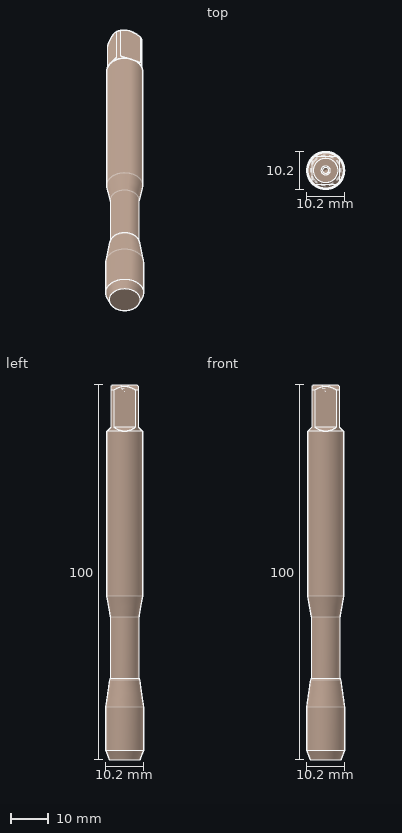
import cadquery as cq

total_length = 100.0

thread_diameter = 10.18
lead_tip_diameter = 8.2
lead_length = 2.6
thread_end = 14.2
head_taper_end = 21.3
head_taper_tip_diameter = 8.15
head_length = 21.8

neck_diameter = 7.7
neck_end = 38.1
shank_taper_end = 43.7
shank_diameter = 9.68

square_across_flats = 7.4
square_corner_diameter = 9.4
square_base = 87.7
square_ramp_top = 88.7
end_face_diameter = 6.5
end_chamfer_height = 1.4

centre_hole_diameter = 1.6
centre_hole_depth = 1.0
countersink_diameter = 2.4


def turned(profile):
    """Revolve (radius, height) points about the Z axis."""
    return cq.Workplane("XZ").polyline(profile).close().revolve(360, (0, 0, 0), (0, 1, 0))


def make_threaded_head():
    """Lower body: lead taper, thread envelope, and taper up to the neck."""
    return turned([
        (0, 0),
        (lead_tip_diameter / 2, 0),
        (thread_diameter / 2, lead_length),
        (thread_diameter / 2, thread_end),
        (head_taper_tip_diameter / 2, head_taper_end),
        (neck_diameter / 2, head_length),
        (0, head_length),
    ])


def make_flat_cutter():
    """Block that cuts the -Y flat of the square and the 45 degree ramp at its foot."""
    flat = square_across_flats / 2
    outside = shank_diameter
    return (
        cq.Workplane("YZ")
        .polyline([
            (-flat, total_length),
            (-flat, square_ramp_top),
            (-outside, square_ramp_top - (outside - flat)),
            (-outside, total_length),
        ])
        .close()
        .extrude(shank_diameter, both=True)
    )


def make_centre_hole_cutter():
    """Hole in the top face, countersunk at the mouth and ending in a 90 degree point."""
    radius = centre_hole_diameter / 2
    return turned([
        (0, total_length),
        (countersink_diameter / 2, total_length),
        (radius, total_length - (countersink_diameter / 2 - radius)),
        (radius, total_length - centre_hole_depth),
        (0, total_length - centre_hole_depth - radius),
    ])


def make_shank():
    """Upper body: neck, taper, shank and driving square."""
    shank = turned([
        (0, head_length),
        (neck_diameter / 2, head_length),
        (neck_diameter / 2, neck_end),
        (shank_diameter / 2, shank_taper_end),
        (shank_diameter / 2, square_base),
        (square_corner_diameter / 2, square_base),
        (square_corner_diameter / 2, total_length - end_chamfer_height),
        (end_face_diameter / 2, total_length),
        (0, total_length),
    ])
    for side in range(4):
        shank = shank.cut(make_flat_cutter().rotate((0, 0, 0), (0, 0, 1), 90 * side))
    return shank.cut(make_centre_hole_cutter())


threaded_head = make_threaded_head()
shank = make_shank()
result = cq.Compound.makeCompound([threaded_head.val(), shank.val()])